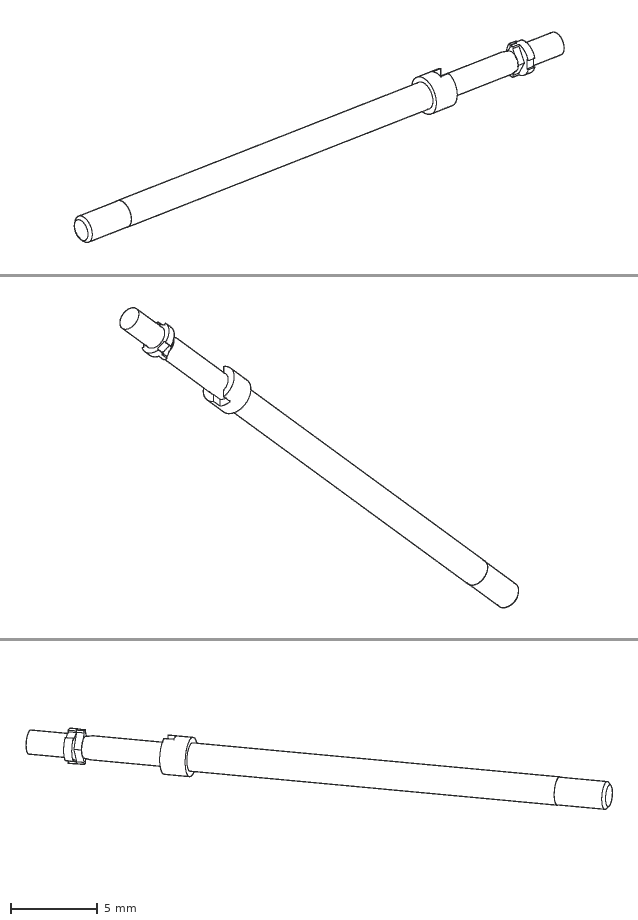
import cadquery as cq
import math

length = 35.4

barrel_diameter = 1.65
contact_diameter = 1.63
collar_diameter = 2.3
stem_diameter = 1.4
neck_diameter = 1.27
flange_diameter = 2.05

flange_start = 2.4
flange_thickness = 0.5
key_length = 0.45
neck_length = 0.42
collar_start = 8.32
collar_length = 1.55
contact_start = 32.32
tip_chamfer = 0.18

groove_count = 3
groove_width = 0.6
groove_floor_radius = 0.85

key_width = 1.27
key_half_angle = 30.0
key_web_width = 0.25

slot_width = 0.75
slot_length = 0.6

head_end = length / 2
key_start = flange_start + flange_thickness
neck_start = key_start + key_length
neck_end = neck_start + neck_length
collar_end = collar_start + collar_length


def station(distance):
    """Y of a point at the given distance from the free end of the head."""
    return head_end - distance


def cylinder(start, end, diameter):
    """Round section between two distances from the head end."""
    plane = cq.Workplane("XZ", origin=(0, station(start), 0))
    return plane.circle(diameter / 2).extrude(end - start)


def neck():
    """Taper from the key up to the full stem diameter."""
    profile = [
        (0, station(neck_start)),
        (neck_diameter / 2, station(neck_start)),
        (stem_diameter / 2, station(neck_end)),
        (0, station(neck_end)),
    ]
    return cq.Workplane("XY").polyline(profile).close().revolve(360, (0, 0, 0), (0, 1, 0))


def flange():
    """Round flange with equally spaced axial grooves in its rim."""
    body = cylinder(flange_start, key_start, flange_diameter)
    middle = station(flange_start + flange_thickness / 2)
    groove = cq.Workplane("XY").box(flange_diameter, flange_thickness, groove_width)
    groove = groove.translate((groove_floor_radius + flange_diameter / 2, middle, 0))
    for index in range(groove_count):
        turned = groove.rotate((0, 0, 0), (0, 1, 0), index * 360 / groove_count)
        body = body.cut(turned)
    return body


def key():
    """Rhombus with its long diagonal along Z, widened by a thin web and rounded off at the flange rim."""
    half_width = key_width / 2
    half_height = half_width / math.tan(math.radians(key_half_angle))
    corners = [(half_width, 0), (0, half_height), (-half_width, 0), (0, -half_height)]
    plane = cq.Workplane("XZ", origin=(0, station(key_start), 0))
    rhombus = plane.polyline(corners).close().extrude(key_length)
    web = plane.rect(key_web_width, flange_diameter).extrude(key_length)
    return rhombus.union(web).intersect(cylinder(key_start, neck_start, flange_diameter))


def collar():
    """Stop collar with a slot down to the stem at the top and bottom of its head-side face."""
    body = cylinder(collar_start, collar_end, collar_diameter)
    middle = station(collar_start + slot_length / 2)
    slot = cq.Workplane("XY", origin=(0, middle, 0)).box(slot_width, slot_length, collar_diameter)
    return body.cut(slot)


def tip():
    """Contact end with a chamfered rim."""
    return cylinder(contact_start, length, contact_diameter).faces("<Y").chamfer(tip_chamfer)


result = (
    cylinder(0, flange_start, stem_diameter)
    .union(flange())
    .union(key())
    .union(neck())
    .union(collar())
    .union(cylinder(neck_end, collar_end, stem_diameter))
    .union(cylinder(collar_end, contact_start, barrel_diameter))
    .union(tip())
)